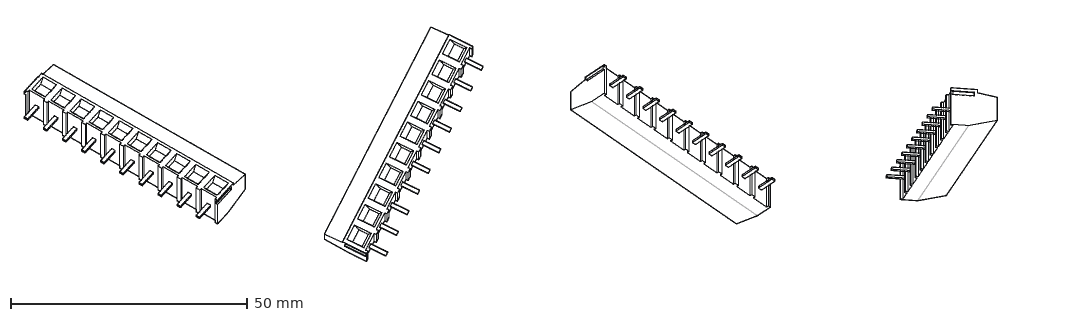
import cadquery as cq

pole_count = 10
body_length = 50.2
recess_width = 4.0
recess_depth = 0.5
end_post_width = 0.6
first_pole_x = end_post_width + recess_width / 2
pitch = (body_length - 2 * first_pole_x) / (pole_count - 1)

body_depth = 10.0
body_height = 8.2
ledge_depth = 5.7
step_drop = 0.7
back_top_drop = 1.4
back_bottom_rise = 1.6
flat_bottom_depth = 3.8

funnel_width = 3.5
funnel_front = 1.05
funnel_back = 5.05
funnel_floor_width = 2.95
funnel_floor_front = 1.6
funnel_floor_back = 3.85
funnel_depth = 1.0

pin_width = 0.9
pin_thickness = 0.5
pin_reach = 3.5

rib_projection = 0.4
rib_length = 5.0
rib_height = 0.8
rib_drop = 0.65


def make_housing():
    """Side profile extruded along the full length."""
    profile = [
        (0, 0),
        (flat_bottom_depth, 0),
        (body_depth, back_bottom_rise),
        (body_depth, body_height - back_top_drop),
        (ledge_depth, body_height - step_drop),
        (ledge_depth, body_height),
        (0, body_height),
    ]
    return cq.Workplane("YZ").polyline(profile).close().extrude(body_length)


def make_recess(x):
    """Block that clears the front of one pole over the full height."""
    return cq.Workplane("XY").box(
        recess_width, recess_depth, body_height, centered=(True, False, False)
    ).translate((x, 0, 0))


def make_funnel(x):
    """Tapered block from the funnel mouth down to its smaller floor."""
    mouth_center = (funnel_front + funnel_back) / 2
    floor_center = (funnel_floor_front + funnel_floor_back) / 2
    return (
        cq.Workplane("XY", origin=(x, mouth_center, body_height))
        .rect(funnel_width, funnel_back - funnel_front)
        .workplane(offset=-funnel_depth)
        .center(0, floor_center - mouth_center)
        .rect(funnel_floor_width, funnel_floor_back - funnel_floor_front)
        .loft(ruled=True)
    )


def make_pin(x):
    """Flat pin from the recess face outward, at mid height."""
    return cq.Workplane("XY").box(
        pin_width, pin_reach + recess_depth, pin_thickness, centered=(True, False, True)
    ).translate((x, -pin_reach, body_height / 2))


def make_rail(start_x):
    """Bar with the section of the coupling rib, starting at the given X."""
    return cq.Workplane("XY").box(
        rib_projection, rib_length, rib_height, centered=False
    ).translate((start_x, 0, body_height - rib_drop - rib_height))


result = make_housing()
for index in range(pole_count):
    pole_x = first_pole_x + index * pitch
    result = result.cut(make_recess(pole_x)).cut(make_funnel(pole_x)).union(make_pin(pole_x))

result = result.union(make_rail(-rib_projection))
result = result.cut(make_rail(body_length - rib_projection))